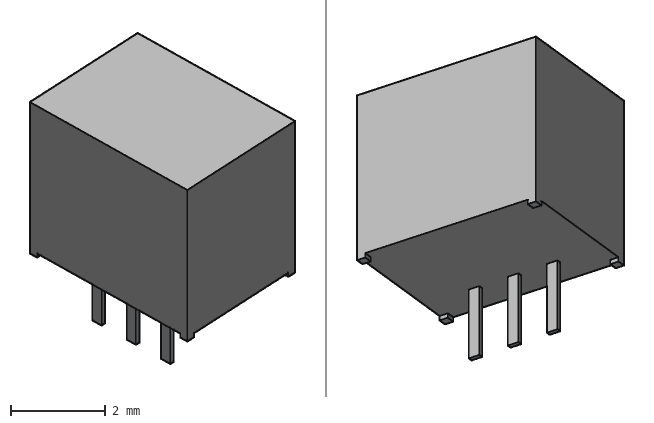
import cadquery as cq

body_length = 4.57
body_width = 3.35
total_height = 5.57

pin_count = 3
pin_pitch = 0.995
pin_width = 0.275
pin_thickness = 0.11
pin_length = 1.67
pin_row_y = -0.915

foot_side = 0.21
foot_height = 0.105

body_height = total_height - pin_length


def bottom_block(length, width, drop, x, y):
    """Block hanging below the body underside (Z = 0), centred on x, y."""
    return cq.Workplane("XY").box(length, width, drop, centered=(True, True, False)).translate((x, y, -drop))


result = cq.Workplane("XY").box(body_length, body_width, body_height, centered=(True, True, False))

foot_x = (body_length - foot_side) / 2
foot_y = (body_width - foot_side) / 2
for x in (-foot_x, foot_x):
    for y in (-foot_y, foot_y):
        result = result.union(bottom_block(foot_side, foot_side, foot_height, x, y))

for index in range(pin_count):
    pin_x = (index - (pin_count - 1) / 2) * pin_pitch
    result = result.union(bottom_block(pin_width, pin_thickness, pin_length, pin_x, pin_row_y))